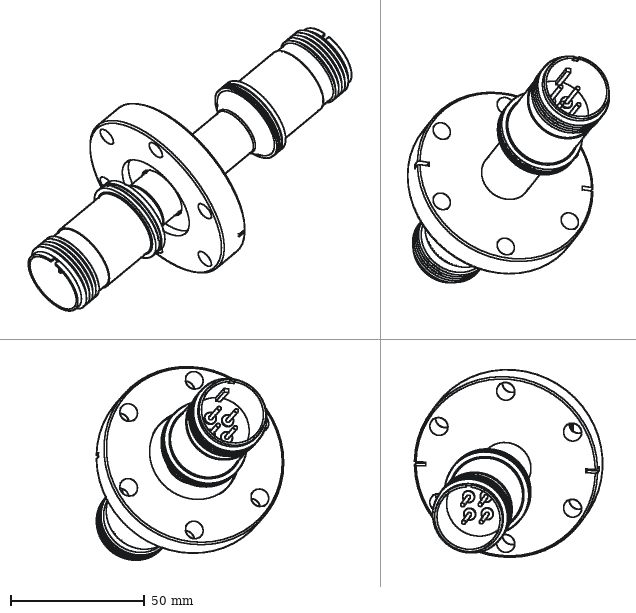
import cadquery as cq
import math

LENGTH = 148.7
END_Y = LENGTH / 2

FLANGE_RADIUS = 35.0
FLANGE_FRONT_Y = -18.6
FLANGE_THICKNESS = 12.6
FLANGE_BACK_Y = FLANGE_FRONT_Y + FLANGE_THICKNESS
FLANGE_CHAMFER = 0.7
BOLT_COUNT = 6
BOLT_CIRCLE_RADIUS = 29.5
BOLT_HOLE_RADIUS = 3.4
BOLT_START_ANGLE = 90
RECESS_RADIUS = 17.4
RECESS_DEPTH = 3.3
TUBE_CLEARANCE_RADIUS = 10.4
TUBE_CLEARANCE_DEPTH = 1.5
LEAK_SLOT_WIDTH = 1.5
LEAK_SLOT_LENGTH = 3.9
LEAK_SLOT_DEPTH = 4.5

TUBE_RADIUS = 9.7
CONE_RADIUS = 14.9
COLLAR_RADIUS = 16.0
COLLAR_GROOVE_RADIUS = 15.6
BARREL_RADIUS = 13.8
NECK_RADIUS = 13.4
CREST_RADIUS = 14.3
RIM_RADIUS = 13.0
BORE_RADIUS = 12.0

RIM_LENGTH = 2.0
CREST_COUNT = 5
FIRST_CREST = RIM_LENGTH + CREST_RADIUS - RIM_RADIUS
LAST_CREST = 10.1
THREAD_PITCH = (LAST_CREST - FIRST_CREST) / (CREST_COUNT - 1)
THREAD_END = 10.5
BARREL_START = 16.2
COLLAR_START = 39.1
WELD_SIZE = 0.5
COLLAR_DISC_WIDTH = 1.8
COLLAR_GROOVE_WIDTH = 1.3
COLLAR_FIN_WIDTH = 0.3
FINE_GROOVE_WIDTH = 0.6
CONE_START = COLLAR_START + 2 * COLLAR_DISC_WIDTH + COLLAR_GROOVE_WIDTH
CONE_END = 49.2
TUBE_WELD_END = 50.0
TUBE_WELD_HEIGHT = 0.3
BORE_DEPTH = 20.8

CONTACT_COUNT = 4
CONTACT_CIRCLE_RADIUS = 4.8
CONTACT_START_ANGLE = 41.5
CONTACT_BASE_RADIUS = 2.2
CONTACT_BASE_HEIGHT = 0.7
PIN_RADIUS = 0.7
PIN_LENGTH = 13.4
NOTCH_WIDTH = 2.1
KEY_WIDTH = 1.8
KEY_START = 8.9
KEY_TIP_RADIUS = 10.5


def rod(radius, start_y, end_y, x=0, z=0):
    """Cylinder parallel to Y, running from start_y up to end_y."""
    plane = cq.Workplane("XZ", origin=(x, start_y, z))
    return plane.circle(radius).extrude(start_y - end_y)


def polar_points(count, radius, start_angle):
    """Evenly spaced (x, z) places on a circle about the Y axis."""
    angles = [math.radians(start_angle + 360 * i / count) for i in range(count)]
    return [(radius * math.cos(a), radius * math.sin(a)) for a in angles]


def connector_body():
    """Solid of revolution from the -Y open end to the end of the cone weld."""
    outline = [(0, 0), (RIM_RADIUS, 0), (RIM_RADIUS, RIM_LENGTH)]
    for i in range(CREST_COUNT):
        crest = FIRST_CREST + i * THREAD_PITCH
        outline.append((CREST_RADIUS, crest))
        root = min(crest + THREAD_PITCH / 2, THREAD_END)
        outline.append((NECK_RADIUS, root))
    groove_start = COLLAR_START + COLLAR_DISC_WIDTH
    groove_end = groove_start + COLLAR_GROOVE_WIDTH
    outline += [
        (NECK_RADIUS, BARREL_START),
        (BARREL_RADIUS, BARREL_START),
        (BARREL_RADIUS, COLLAR_START - WELD_SIZE),
        (BARREL_RADIUS + WELD_SIZE, COLLAR_START),
        (COLLAR_RADIUS, COLLAR_START),
        (COLLAR_RADIUS, groove_start),
        (COLLAR_GROOVE_RADIUS, groove_start),
        (COLLAR_GROOVE_RADIUS, groove_end),
        (COLLAR_RADIUS, groove_end),
        (COLLAR_RADIUS, CONE_START),
        (CONE_RADIUS, CONE_START),
        (TUBE_RADIUS + TUBE_WELD_HEIGHT, CONE_END),
        (TUBE_RADIUS, TUBE_WELD_END),
        (0, TUBE_WELD_END),
    ]
    body = cq.Workplane("XY").polyline(outline).close().revolve(360, (0, 0, 0), (0, 1, 0))
    return body.translate((0, -END_Y, 0))


def connector():
    """Complete -Y connector with its socket, contacts, notch and key."""
    floor_y = -END_Y + BORE_DEPTH
    body = connector_body().cut(rod(BORE_RADIUS, -END_Y, floor_y))

    for x, z in polar_points(CONTACT_COUNT, CONTACT_CIRCLE_RADIUS, CONTACT_START_ANGLE):
        body = body.union(rod(CONTACT_BASE_RADIUS, floor_y - CONTACT_BASE_HEIGHT, floor_y, x, z))
        body = body.union(rod(PIN_RADIUS, floor_y - PIN_LENGTH, floor_y, x, z))

    key_top = (BORE_RADIUS + RIM_RADIUS) / 2
    key = cq.Workplane("XY").box(
        KEY_WIDTH, BORE_DEPTH - KEY_START, key_top - KEY_TIP_RADIUS, centered=(True, False, False)
    )
    body = body.union(key.translate((0, -END_Y + KEY_START, KEY_TIP_RADIUS)))

    notch = cq.Workplane("XY").box(NOTCH_WIDTH, RIM_LENGTH, RIM_RADIUS, centered=(True, False, False))
    return body.cut(notch.translate((0, -END_Y, 0)))


def fine_collar_groove():
    """Narrow ring that leaves a thin fin beside the main collar groove at +Y."""
    groove_start = COLLAR_START + COLLAR_DISC_WIDTH + COLLAR_GROOVE_WIDTH + COLLAR_FIN_WIDTH
    far_y = END_Y - groove_start
    near_y = far_y - FINE_GROOVE_WIDTH
    return rod(COLLAR_RADIUS, near_y, far_y).cut(rod(COLLAR_GROOVE_RADIUS, near_y, far_y))


def flange():
    """Chamfered disc with bolt holes, a front recess and two leak-check slots."""
    disc = rod(FLANGE_RADIUS, FLANGE_FRONT_Y, FLANGE_BACK_Y).edges().chamfer(FLANGE_CHAMFER)
    for x, z in polar_points(BOLT_COUNT, BOLT_CIRCLE_RADIUS, BOLT_START_ANGLE):
        disc = disc.cut(rod(BOLT_HOLE_RADIUS, FLANGE_FRONT_Y, FLANGE_BACK_Y, x, z))
    disc = disc.cut(rod(RECESS_RADIUS, FLANGE_FRONT_Y, FLANGE_FRONT_Y + RECESS_DEPTH))
    clearance_end = FLANGE_FRONT_Y + RECESS_DEPTH + TUBE_CLEARANCE_DEPTH
    disc = disc.cut(rod(TUBE_CLEARANCE_RADIUS, FLANGE_FRONT_Y, clearance_end))
    slot = cq.Workplane("XY").box(LEAK_SLOT_DEPTH, LEAK_SLOT_LENGTH, LEAK_SLOT_WIDTH)
    for side in (-1, 1):
        slot_x = side * (FLANGE_RADIUS - LEAK_SLOT_DEPTH / 2)
        disc = disc.cut(slot.translate((slot_x, FLANGE_BACK_Y - LEAK_SLOT_LENGTH / 2, 0)))
    return disc


front_connector = connector()
back_connector = front_connector.mirror("XZ").cut(fine_collar_groove())
tube = rod(TUBE_RADIUS, CONE_END - END_Y, END_Y - CONE_END)
result = flange().union(tube).union(front_connector).union(back_connector)